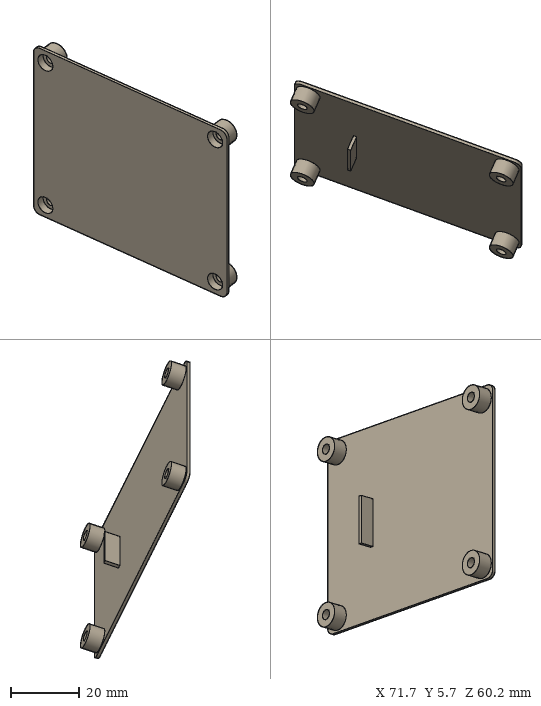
import cadquery as cq

plate_width = 71.7
plate_height = 60.2
plate_thickness = 1.0
corner_radius = 2.3

total_depth = 5.7
hole_inset = 4.4
boss_diameter = 7.5
hole_diameter = 3.0
counterbore_diameter = 5.5
counterbore_depth = 2.5

rib_thickness = 1.0
rib_height = 14.85
rib_center_x = 16.6

standoff_length = total_depth - plate_thickness
hole_spacing_x = plate_width - 2 * hole_inset
hole_spacing_z = plate_height - 2 * hole_inset


def back_plane(y):
    """Sketch plane facing +Y at depth y; its local x axis is +X and its local y axis is -Z."""
    return cq.Workplane("XZ", origin=(0, y, 0)).transformed(rotate=(180, 0, 0))


def corner_cylinders(diameter, start_y, length):
    """Four cylinders at the hole positions, growing toward +Y."""
    points = back_plane(start_y).rect(hole_spacing_x, hole_spacing_z, forConstruction=True).vertices()
    return points.circle(diameter / 2).extrude(length)


plate = back_plane(0).rect(plate_width, plate_height).extrude(plate_thickness)
plate = plate.edges("|Y").fillet(corner_radius)

bosses = corner_cylinders(boss_diameter, plate_thickness, standoff_length)
rib = (
    back_plane(plate_thickness)
    .center(rib_center_x, 0)
    .rect(rib_thickness, rib_height)
    .extrude(standoff_length)
)

through_holes = corner_cylinders(hole_diameter, 0, total_depth)
counterbores = corner_cylinders(counterbore_diameter, 0, counterbore_depth)

result = plate.union(bosses).union(rib).cut(through_holes).cut(counterbores)